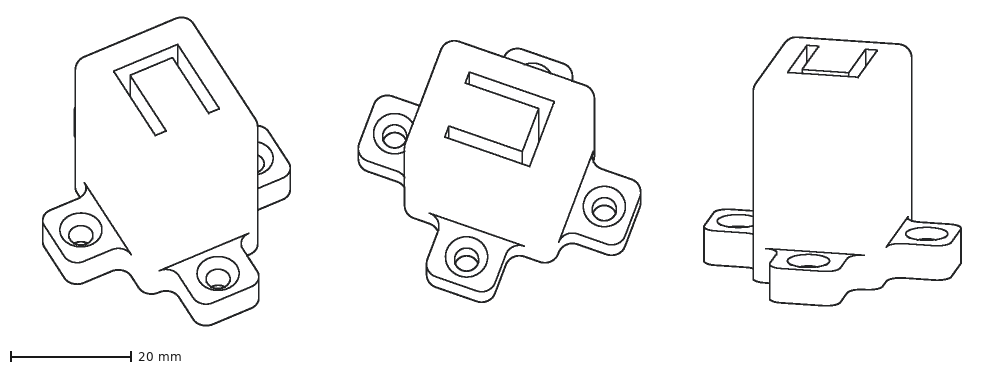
import cadquery as cq

overall_length = 47
overall_width = 42.0
overall_height = 35.0

body_length = 27.02
body_width = 22.0
edge_radius = 2.4

tab_width = 12.0
tab_thickness = 6.0
hole_inset = 5.0
hole_diameter = 4.0
countersink_diameter = 7.0
countersink_angle = 90

slot_length = 15.0
slot_width = 12.0
slot_gap = 2.0


def make_body():
    """Block with rounded top and upright edges."""
    block = cq.Workplane("XY").box(
        body_length, body_width, overall_height, centered=(True, True, False)
    )
    return block.edges("|Z or >Z").fillet(edge_radius)


def make_bar(length, width, height):
    """Upright bar centred on the part axis, standing on the base plane."""
    return cq.Workplane("XY").rect(length, width).extrude(height)


def make_flange():
    """Cross of four tabs, rounded at the tips and flared into the housing."""
    arms = make_bar(overall_length, tab_width, tab_thickness)
    arms = arms.union(make_bar(tab_width, overall_width, tab_thickness))
    core = make_bar(body_length, body_width, tab_thickness)
    return arms.union(core).edges("|Z").fillet(edge_radius)


def mounting_hole_centers():
    x = overall_length / 2 - hole_inset
    y = overall_width / 2 - hole_inset
    return [(x, 0), (-x, 0), (0, y), (0, -y)]


def make_slot():
    """U-shaped cutter that leaves a tongue joined at its +X end."""
    outline = make_bar(slot_length, slot_width, overall_height)
    tongue = (
        cq.Workplane("XY")
        .center(slot_gap / 2, 0)
        .rect(slot_length - slot_gap, slot_width - 2 * slot_gap)
        .extrude(overall_height)
    )
    return outline.cut(tongue)


flange = (
    make_flange()
    .faces(">Z")
    .workplane(origin=(0, 0, tab_thickness))
    .pushPoints(mounting_hole_centers())
    .cskHole(hole_diameter, countersink_diameter, countersink_angle)
)

result = make_body().union(flange).cut(make_slot())